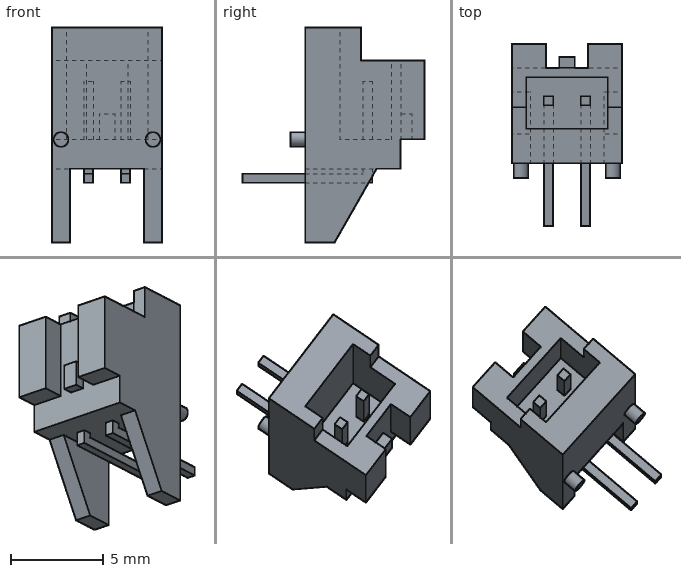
import cadquery as cq

width = 6.0
height = 11.7
depth = 6.49
front_wall_depth = 3.04
shoulder_height = 9.9
ledge_height = 5.6
ledge_depth = 5.2
leg_height = 4.0
leg_top_depth = 3.88
leg_foot_depth = 1.6
leg_width = 1.0

socket_width = 4.45
socket_front = 1.88
socket_back = 4.69
socket_floor = 5.6
notch_width = 2.28

key_width = 0.84
key_length = 0.6
key_bottom = ledge_height
key_height = 1.4

pin_size = 0.5
pin_pitch = 2.0
pin_reach = 3.4
pin_bottom = 3.24
pin_back = 3.65
pin_top = 8.78

peg_diameter = 0.8
peg_length = 0.8
peg_spacing = 5.0
peg_height = 5.6


def block(x_size, y_range, z_range, x_center=0):
    """Box centred on x_center, spanning the given Y and Z ranges."""
    y_size = y_range[1] - y_range[0]
    z_size = z_range[1] - z_range[0]
    corner = (x_center - x_size / 2, y_range[0], z_range[0])
    return cq.Workplane("XY").box(x_size, y_size, z_size, centered=False).translate(corner)


def make_housing():
    profile = [
        (0, 0),
        (leg_foot_depth, 0),
        (leg_top_depth, leg_height),
        (ledge_depth, leg_height),
        (ledge_depth, ledge_height),
        (depth, ledge_height),
        (depth, shoulder_height),
        (front_wall_depth, shoulder_height),
        (front_wall_depth, height),
        (0, height),
    ]
    body = cq.Workplane("YZ").polyline(profile).close().extrude(width / 2, both=True)
    leg_gap = block(width - 2 * leg_width, (0, depth), (0, leg_height))
    socket = block(socket_width, (socket_front, socket_back), (socket_floor, height))
    notch = block(notch_width, (ledge_depth, depth), (ledge_height, shoulder_height))
    return body.cut(leg_gap).cut(socket).cut(notch)


def make_key():
    return block(key_width, (ledge_depth, ledge_depth + key_length), (key_bottom, key_bottom + key_height))


def make_pin(x):
    tail = block(pin_size, (-pin_reach, pin_back), (pin_bottom, pin_bottom + pin_size), x)
    post = block(pin_size, (pin_back - pin_size, pin_back), (pin_bottom, pin_top), x)
    return tail.union(post)


def make_peg(x):
    return cq.Workplane("XZ").center(x, peg_height).circle(peg_diameter / 2).extrude(peg_length)


result = make_housing().union(make_key())
for side in (-1, 1):
    result = result.union(make_pin(side * pin_pitch / 2))
    result = result.union(make_peg(side * peg_spacing / 2))